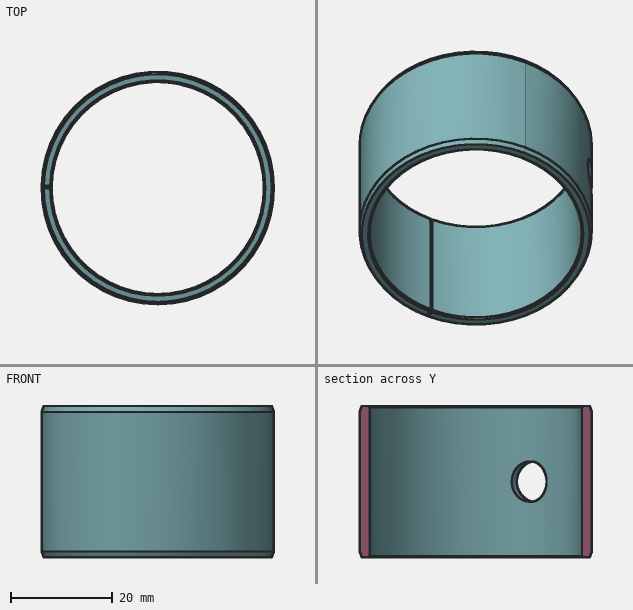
import cadquery as cq

outer_diameter = 46.0
wall = 2.02
height = 30.0
outer_radius = outer_diameter / 2
inner_radius = outer_radius - wall

outer_chamfer_height = 1.2
outer_chamfer_depth = 0.45
inner_chamfer = 0.3

slit_width = 0.4
slit_offset = slit_width / 2

hole_diameter = 8.0
hole_angle = 59.2


def make_sleeve():
    """Revolve the wall section, chamfered at both ends, about Z."""
    half_height = height / 2
    upper_outline = [
        (outer_radius, half_height - outer_chamfer_height),
        (outer_radius - outer_chamfer_depth, half_height),
        (inner_radius + inner_chamfer, half_height),
        (inner_radius, half_height - inner_chamfer),
    ]
    lower_outline = [(radius, -z) for radius, z in reversed(upper_outline)]
    return (
        cq.Workplane("XZ")
        .polyline(upper_outline + lower_outline)
        .close()
        .revolve(360, (0, 0, 0), (0, 1, 0))
    )


def make_slit():
    """Full-height cutter through the wall on the -X side only."""
    return (
        cq.Workplane("XY")
        .box(outer_diameter, slit_width, 2 * height)
        .translate((-outer_diameter / 2, slit_offset, 0))
    )


def make_oil_hole():
    """Radial cutter at mid-height, starting on the axis so it pierces one wall."""
    return (
        cq.Workplane("YZ")
        .circle(hole_diameter / 2)
        .extrude(outer_diameter)
        .rotate((0, 0, 0), (0, 0, 1), hole_angle)
    )


result = make_sleeve().cut(make_slit()).cut(make_oil_hole())